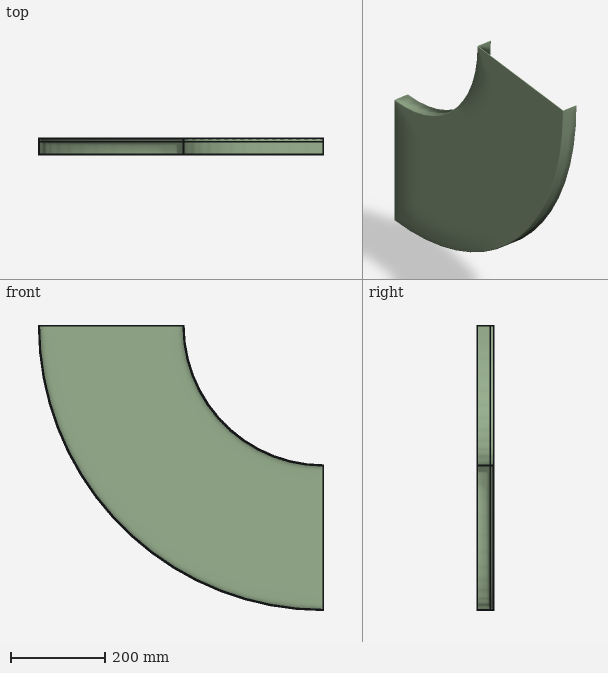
import cadquery as cq

outer_radius = 604.5
inner_radius = 296.0
depth = 35.0
sheet_thickness = 1.5
bend_radius = 2.1
lip_depth = 7.0


def quarter_ring(small_radius, large_radius, back, front):
    """Quarter ring below and left of the centre, between two distances from the back."""
    diagonal = 0.5 ** 0.5
    return (
        cq.Workplane("XZ", origin=(0, -back, 0))
        .moveTo(-large_radius, 0)
        .threePointArc((-large_radius * diagonal, -large_radius * diagonal), (0, -large_radius))
        .lineTo(0, -small_radius)
        .threePointArc((-small_radius * diagonal, -small_radius * diagonal), (-small_radius, 0))
        .close()
        .extrude(front - back)
    )


def make_tray():
    """Curved floor with a low lip folded forward along each arc."""
    blank = quarter_ring(inner_radius, outer_radius, 0, lip_depth)
    blank = blank.faces(">Y").edges("%CIRCLE").fillet(bend_radius)
    hollow = quarter_ring(
        inner_radius + sheet_thickness, outer_radius - sheet_thickness, sheet_thickness, lip_depth
    )
    hollow = hollow.faces(">Y").edges("%CIRCLE").fillet(bend_radius - sheet_thickness)
    return blank.cut(hollow)


def make_rail(small_radius):
    """Curved wall that continues one lip of the tray to the full depth."""
    return quarter_ring(small_radius, small_radius + sheet_thickness, lip_depth, depth)


tray = make_tray()
rails = [make_rail(radius) for radius in (inner_radius, outer_radius - sheet_thickness)]

result = cq.Compound.makeCompound([tray.val(), *[rail.val() for rail in rails]])